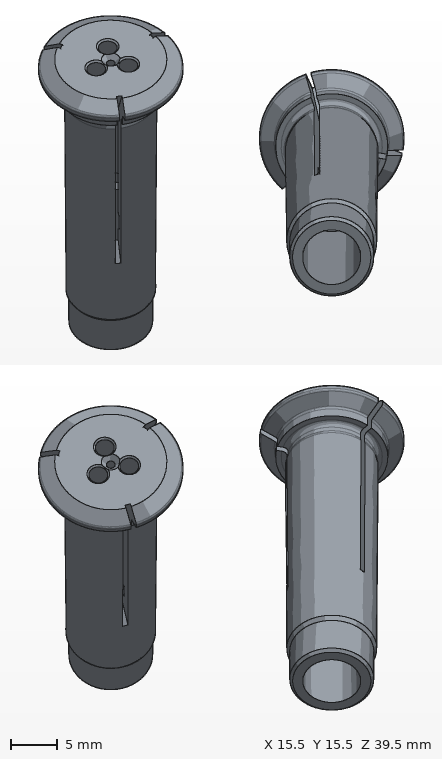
import cadquery as cq
import math

height = 39.5

head_radius = 7.75
head_top_radius = 6.0
head_cone_angle = 60.0
rim_length = 0.7
rim_round = 0.3

flange_radius = head_top_radius
flange_bottom = 35.5
flange_round = 0.3
neck_radius = 4.85
neck_bottom = 34.4
neck_round = 0.55

barrel_top = 33.97
barrel_top_radius = 4.98
barrel_bottom = 5.17
barrel_bottom_radius = 4.8
shank_radius = 4.5
shank_top = 4.7
shank_chamfer = 0.3

bore_diameter = 6.2
bore_radius = bore_diameter / 2
bore_top = 33.55
groove_radius = 3.65
groove_bottom = 17.0
groove_top = 19.45

slot_count = 3
slot_first_angle = 180.0
slot_width = 0.6
slot_bottom = 13.63
slot_inner_radius_at_top = 5.65
slot_end_angle = 30.0
slot_overrun = 0.4

pin_hole_count = 3
pin_hole_diameter = 2.0
pin_hole_mouth_diameter = 2.4
pin_hole_circle_radius = 2.0
centre_hole_diameter = 0.9
centre_mouth_diameter = 2.0


def round_edge(part, radius, level, size):
    """Round the circular edge of the given radius at the given height."""
    margin = 0.05
    box = cq.selectors.BoxSelector(
        (-radius - margin, -radius - margin, level - margin),
        (radius + margin, radius + margin, level + margin),
        boundingbox=True,
    )
    return part.edges("%CIRCLE").edges(box).fillet(size)


def make_body():
    """Revolve the outer outline, then round the edges of the head, flange and neck."""
    cone_height = (head_radius - head_top_radius) / math.tan(math.radians(head_cone_angle))
    rim_top = height - cone_height
    rim_bottom = rim_top - rim_length
    flange_top = rim_bottom - cone_height
    outline = [
        (0, 0),
        (shank_radius - shank_chamfer, 0),
        (shank_radius, shank_chamfer),
        (shank_radius, shank_top),
        (barrel_bottom_radius, barrel_bottom),
        (barrel_top_radius, barrel_top),
        (neck_radius, neck_bottom),
        (neck_radius, flange_bottom),
        (flange_radius, flange_bottom),
        (flange_radius, flange_top),
        (head_radius, rim_bottom),
        (head_radius, rim_top),
        (head_top_radius, height),
        (0, height),
    ]
    body = cq.Workplane("XZ").polyline(outline).close().revolve(360, (0, 0), (0, 1))

    body = round_edge(body, head_radius, rim_top, rim_round)
    body = round_edge(body, head_radius, rim_bottom, rim_round)
    body = round_edge(body, flange_radius, flange_top, flange_round)
    return round_edge(body, neck_radius, flange_bottom, neck_round)


def make_bore():
    """Bore with a groove whose lower side is a 45 degree cone and whose top is square."""
    groove_depth = groove_radius - bore_radius
    outline = [
        (0, 0),
        (bore_radius, 0),
        (bore_radius, groove_bottom),
        (groove_radius, groove_bottom + groove_depth),
        (groove_radius, groove_top),
        (bore_radius, groove_top),
        (bore_radius, bore_top),
        (0, bore_top),
    ]
    return cq.Workplane("XZ").polyline(outline).close().revolve(360, (0, 0), (0, 1))


def make_slot(angle):
    """Radial slot: sloping inner end through the head, 45 degree ramp at the bottom."""
    end_shift = (height - bore_top) * math.tan(math.radians(slot_end_angle))
    inside = slot_inner_radius_at_top - end_shift
    outside = head_radius + slot_overrun
    ramp_inner_level = slot_bottom + barrel_bottom_radius - inside
    ramp_outer_level = slot_bottom + barrel_bottom_radius - outside
    outline = [
        (slot_inner_radius_at_top, height),
        (inside, bore_top),
        (inside, ramp_inner_level),
        (outside, ramp_outer_level),
        (outside, height),
    ]
    slot = cq.Workplane("XZ").polyline(outline).close().extrude(slot_width / 2, both=True)
    return slot.rotate((0, 0, 0), (0, 0, 1), angle)


def make_hole(diameter, mouth_diameter):
    """Round hole from the top face into the bore, with a 45 degree mouth."""
    mouth_depth = (mouth_diameter - diameter) / 2
    outline = [
        (0, bore_top),
        (diameter / 2, bore_top),
        (diameter / 2, height - mouth_depth),
        (mouth_diameter / 2, height),
        (0, height),
    ]
    return cq.Workplane("XZ").polyline(outline).close().revolve(360, (0, 0), (0, 1))


result = make_body().cut(make_bore())

for index in range(slot_count):
    result = result.cut(make_slot(slot_first_angle + index * 360 / slot_count))

result = result.cut(make_hole(centre_hole_diameter, centre_mouth_diameter))
for index in range(pin_hole_count):
    pin_hole = make_hole(pin_hole_diameter, pin_hole_mouth_diameter)
    pin_hole = pin_hole.translate((pin_hole_circle_radius, 0, 0))
    result = result.cut(pin_hole.rotate((0, 0, 0), (0, 0, 1), index * 360 / pin_hole_count))